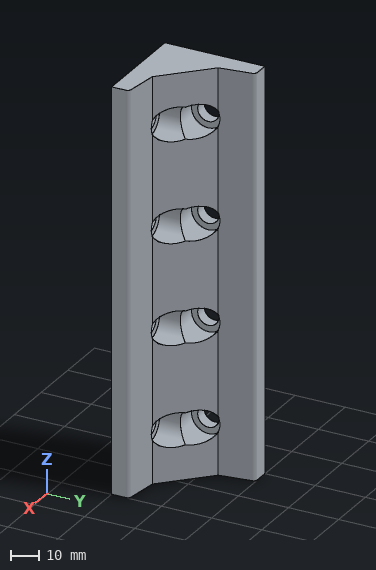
import cadquery as cq

leg = 40.0
length = 160.0
tip_thickness = 7.0
root_thickness = 9.0
web_reach = 26.0
tip_radius = 1.5
hole_diameter = 8.5
head_diameter = 13.5
seat_thickness = 5.0
hole_count = 4
hole_pitch = length / hole_count
leg_middle = leg / 2


def make_body():
    """Angle profile with tapered legs and a diagonal web, extruded along Z."""
    profile = [
        (0, 0),
        (leg, 0),
        (leg, tip_thickness),
        (web_reach, root_thickness),
        (root_thickness, web_reach),
        (tip_thickness, leg),
        (0, leg),
    ]
    body = cq.Workplane("XY").polyline(profile).close().extrude(length)
    inner_tips = [(leg, tip_thickness, length / 2), (tip_thickness, leg, length / 2)]
    for tip in inner_tips:
        body = body.edges(cq.selectors.NearestToPointSelector(tip)).fillet(tip_radius)
    return body


def make_screw_cutter(x, y, z, direction):
    """Clearance hole from an outer face, with a counterbore open to the inside."""
    start = cq.Vector(x, y, z)
    axis = cq.Vector(*direction)
    hole = cq.Solid.makeCylinder(hole_diameter / 2, leg, start, axis)
    seat = start + axis * seat_thickness
    head = cq.Solid.makeCylinder(head_diameter / 2, leg, seat, axis)
    return hole.fuse(head)


result = make_body()
for index in range(hole_count):
    height = (index + 0.5) * hole_pitch
    result = result.cut(make_screw_cutter(leg_middle, 0, height, (0, 1, 0)))
    result = result.cut(make_screw_cutter(0, leg_middle, height, (1, 0, 0)))